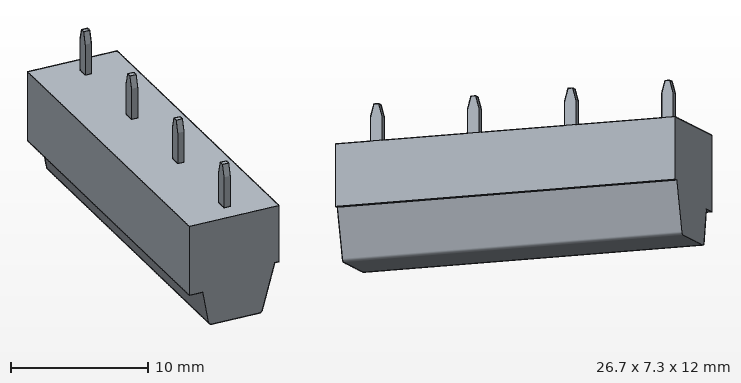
import cadquery as cq

length = 26.67
depth = 7.3
total_height = 12.0
pin_height = 3.47
body_height = total_height - pin_height

front_block_height = 5.7
back_block_height = 4.67
front_step = 1.1
back_step = 0.35
front_foot_inset = 1.6
back_foot_inset = 1.41
foot_radius = 0.3

pin_count = 4
end_margin_in_pitches = 0.25
pin_pitch = length / (pin_count - 1 + 2 * end_margin_in_pitches)
pin_width = 0.9
pin_thickness = 0.5
pin_tip_width = 0.37
pin_tip_height = 0.95
pin_offset_y = 0.147

front_y = -depth / 2
back_y = depth / 2


def make_housing():
    """Upper block with a tapered foot, the underside at Z = 0."""
    profile = [
        (front_y, body_height),
        (back_y, body_height),
        (back_y, body_height - back_block_height),
        (back_y - back_step, body_height - back_block_height),
        (back_y - back_foot_inset, 0),
        (front_y + front_foot_inset, 0),
        (front_y + front_step, body_height - front_block_height),
        (front_y, body_height - front_block_height),
    ]
    housing = cq.Workplane("YZ").polyline(profile).close().extrude(length / 2, both=True)
    foot_edges = housing.faces("<Z").edges("|X")
    return foot_edges.fillet(foot_radius)


def make_pin(center_x):
    """Blade standing on the top face of the housing."""
    shoulder_z = total_height - pin_tip_height
    outline = [
        (center_x - pin_width / 2, body_height),
        (center_x - pin_width / 2, shoulder_z),
        (center_x - pin_tip_width / 2, total_height),
        (center_x + pin_tip_width / 2, total_height),
        (center_x + pin_width / 2, shoulder_z),
        (center_x + pin_width / 2, body_height),
    ]
    pin_plane = cq.Workplane("XZ", origin=(0, pin_offset_y, 0))
    return pin_plane.polyline(outline).close().extrude(pin_thickness / 2, both=True)


result = make_housing()
for index in range(pin_count):
    pin_x = (index - (pin_count - 1) / 2) * pin_pitch
    result = result.union(make_pin(pin_x))